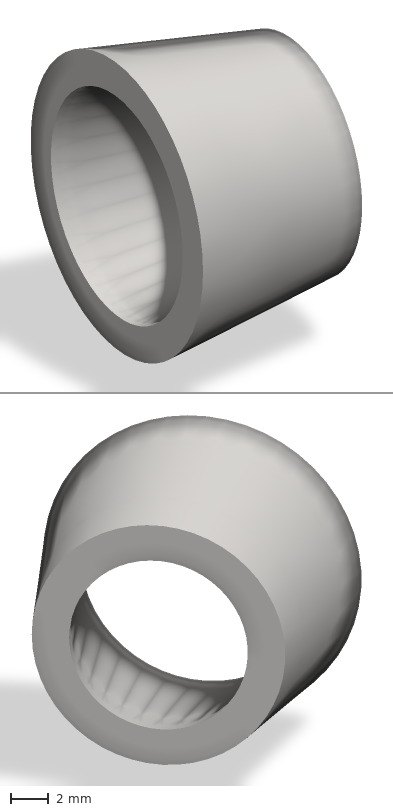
import math

import cadquery as cq

length = 11.0
large_outer_diameter = 17.2
small_outer_diameter = 13.7
wall = 2.0

large_outer_radius = large_outer_diameter / 2
small_outer_radius = small_outer_diameter / 2
cone_half_angle = math.atan((large_outer_radius - small_outer_radius) / length)

end_face_width = wall / math.cos(cone_half_angle)
large_inner_radius = large_outer_radius - end_face_width
small_inner_radius = small_outer_radius - end_face_width


def make_reducer():
    """Revolve the wall section about Y, with the large end at Y = 0."""
    wall_section = (
        cq.Workplane("XY")
        .moveTo(large_inner_radius, 0)
        .lineTo(large_outer_radius, 0)
        .lineTo(small_outer_radius, length)
        .lineTo(small_inner_radius, length)
        .close()
    )
    return wall_section.revolve(360, (0, 0, 0), (0, 1, 0))


result = make_reducer()